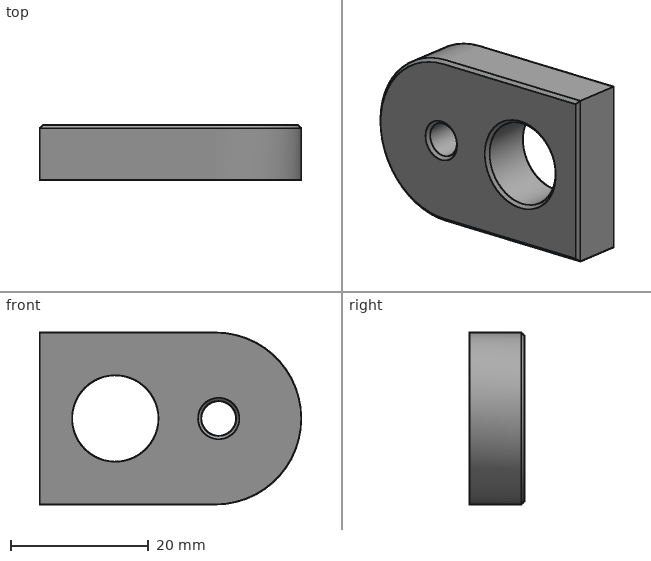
import cadquery as cq

length = 38.0
thickness = 8.0
height = 25.0
edge_chamfer = 0.5
large_hole_diameter = 12.5
large_hole_x = 11.0
small_hole_diameter = 5.0
hole_spacing = 15.0
countersink_size = 0.5

end_radius = height / 2
straight_length = length - end_radius
small_hole_x = large_hole_x + hole_spacing


def plate():
    """Plate with one flat end and one round end, front face on Y = 0."""
    outline = (
        cq.Workplane("XZ")
        .moveTo(0, -end_radius)
        .lineTo(straight_length, -end_radius)
        .threePointArc((length, 0), (straight_length, end_radius))
        .lineTo(0, end_radius)
        .close()
    )
    return outline.extrude(-thickness)


def through_hole(x, diameter):
    """Cylinder that cuts a hole through the full thickness."""
    return cq.Workplane("XZ").center(x, 0).circle(diameter / 2).extrude(-thickness)


def countersink(x, diameter):
    """Cone that widens the front mouth of a hole."""
    radius = diameter / 2
    return cq.Workplane(
        cq.Solid.makeCone(
            radius + countersink_size,
            radius,
            countersink_size,
            pnt=cq.Vector(x, 0, 0),
            dir=cq.Vector(0, 1, 0),
        )
    )


result = (
    plate()
    .cut(through_hole(large_hole_x, large_hole_diameter))
    .cut(through_hole(small_hole_x, small_hole_diameter))
    .faces(">Y")
    .edges()
    .chamfer(edge_chamfer)
    .cut(countersink(small_hole_x, small_hole_diameter))
)